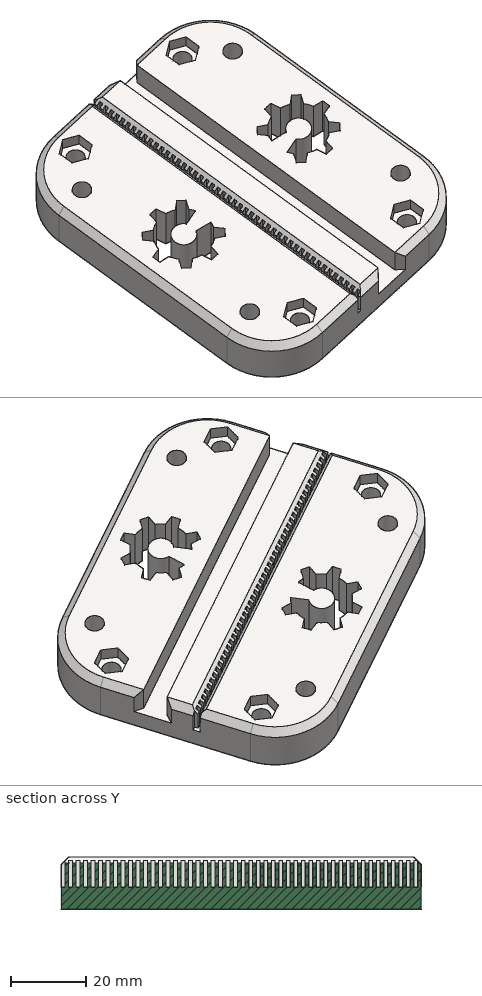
import cadquery as cq
import math

LENGTH = 96.0
WIDTH = 79.0
HEIGHT = 14.0
CORNER_RADIUS = 18.0
EDGE_CHAMFER = 2.0

FLOOR_Z = 6.0
CHANNEL_WIDTH = 6.7
CHANNEL_Y = 6.5
CHANNEL_FLARE = EDGE_CHAMFER
SLOT_WIDTH = 2.0
SLOT_Y = -6.0
LEAD_IN_DEPTH = SLOT_WIDTH

TOOTH_COUNT = 48
TOOTH_PITCH = LENGTH / TOOTH_COUNT
TOOTH_WIDTH = TOOTH_PITCH / 2
TOOTH_REACH = SLOT_WIDTH / 2

HOLE_DIAMETER = 5.2
PLAIN_HOLE_X = LENGTH / 2 - CORNER_RADIUS
PLAIN_HOLE_Y = 30.2
NUT_HOLE_X = 40.0
NUT_HOLE_Y = WIDTH / 2 - CORNER_RADIUS
NUT_ACROSS_FLATS = 8.0
NUT_DEPTH = 4.0

GEAR_Y = 23.0
GEAR_TIP_RADIUS = 11.0
GEAR_ROOT_RADIUS = 8.3
GEAR_SECTORS = 8
GEAR_TIP_HALF_WIDTH = 1.2
GEAR_BASE_HALF_WIDTH = 1.8
HUB_RADIUS = 3.5
NECK_HUB_HALF_WIDTH = 1.7
NECK_ROOT_HALF_WIDTH = 2.9


def make_plate():
    plate = cq.Workplane("XY").box(LENGTH, WIDTH, HEIGHT, centered=(True, True, False))
    return plate.edges("|Z").fillet(CORNER_RADIUS).faces(">Z").edges().chamfer(EDGE_CHAMFER)


def make_channel():
    """Rod channel whose side walls flare at 45 degrees at both ends."""
    half_width = CHANNEL_WIDTH / 2
    end_half_width = half_width + CHANNEL_FLARE
    end_x = LENGTH / 2
    flare_x = end_x - CHANNEL_FLARE
    outline = [
        (-end_x, -end_half_width),
        (-flare_x, -half_width),
        (flare_x, -half_width),
        (end_x, -end_half_width),
        (end_x, end_half_width),
        (flare_x, half_width),
        (-flare_x, half_width),
        (-end_x, end_half_width),
    ]
    channel = cq.Workplane("XY", origin=(0, CHANNEL_Y, FLOOR_Z)).polyline(outline).close()
    return channel.extrude(HEIGHT - FLOOR_Z)


def make_belt_slot():
    """Narrow slot with a row of teeth left standing and a V-shaped lead-in along its top."""
    slot = cq.Workplane("XY", origin=(0, SLOT_Y, FLOOR_Z)).box(
        LENGTH, SLOT_WIDTH, HEIGHT - FLOOR_Z, centered=(True, True, False)
    )
    tooth_y = SLOT_Y + (SLOT_WIDTH - TOOTH_REACH) / 2
    first_tooth_x = -LENGTH / 2 + TOOTH_PITCH - TOOTH_WIDTH / 2
    tooth_centres = [(first_tooth_x + i * TOOTH_PITCH, tooth_y) for i in range(TOOTH_COUNT)]
    teeth = (
        cq.Workplane("XY", origin=(0, 0, FLOOR_Z))
        .pushPoints(tooth_centres)
        .rect(TOOTH_WIDTH, TOOTH_REACH)
        .extrude(HEIGHT - FLOOR_Z)
    )
    lead_in = (
        cq.Workplane("YZ", origin=(0, SLOT_Y, HEIGHT))
        .polyline([(-LEAD_IN_DEPTH, 0), (0, -LEAD_IN_DEPTH), (LEAD_IN_DEPTH, 0)])
        .close()
        .extrude(LENGTH / 2, both=True)
    )
    return slot.cut(teeth).union(lead_in)


def mirrored_points(x, y):
    return [(sx * x, sy * y) for sx in (-1, 1) for sy in (-1, 1)]


def make_screw_holes():
    centres = mirrored_points(PLAIN_HOLE_X, PLAIN_HOLE_Y) + mirrored_points(NUT_HOLE_X, NUT_HOLE_Y)
    return cq.Workplane("XY").pushPoints(centres).circle(HOLE_DIAMETER / 2).extrude(HEIGHT)


def make_nut_pockets():
    across_corners = NUT_ACROSS_FLATS / math.cos(math.pi / 6)
    return (
        cq.Workplane("XY", origin=(0, 0, HEIGHT - NUT_DEPTH))
        .pushPoints(mirrored_points(NUT_HOLE_X, NUT_HOLE_Y))
        .polygon(6, across_corners)
        .extrude(NUT_DEPTH)
    )


def make_gear_cutout():
    """Gear silhouette opening around a hub, which a tapered neck joins to the plate on the -Y side."""
    wheel = cq.Workplane("XY").circle(GEAR_ROOT_RADIUS).extrude(HEIGHT)
    base_y = math.sqrt(GEAR_ROOT_RADIUS**2 - GEAR_BASE_HALF_WIDTH**2)
    tooth = (
        cq.Workplane("XY")
        .moveTo(-GEAR_BASE_HALF_WIDTH, 0)
        .lineTo(-GEAR_BASE_HALF_WIDTH, base_y)
        .lineTo(-GEAR_TIP_HALF_WIDTH, GEAR_TIP_RADIUS)
        .lineTo(GEAR_TIP_HALF_WIDTH, GEAR_TIP_RADIUS)
        .lineTo(GEAR_BASE_HALF_WIDTH, base_y)
        .lineTo(GEAR_BASE_HALF_WIDTH, 0)
        .close()
        .extrude(HEIGHT)
    )
    neck_sector = GEAR_SECTORS // 2
    for sector in range(GEAR_SECTORS):
        if sector != neck_sector:
            wheel = wheel.union(tooth.rotate((0, 0, 0), (0, 0, 1), sector * 360 / GEAR_SECTORS))

    hub = cq.Workplane("XY").circle(HUB_RADIUS).extrude(HEIGHT)
    neck_hub_y = -math.sqrt(HUB_RADIUS**2 - NECK_HUB_HALF_WIDTH**2)
    neck = (
        cq.Workplane("XY")
        .moveTo(-NECK_HUB_HALF_WIDTH, neck_hub_y)
        .lineTo(NECK_HUB_HALF_WIDTH, neck_hub_y)
        .lineTo(NECK_ROOT_HALF_WIDTH, -GEAR_ROOT_RADIUS)
        .lineTo(-NECK_ROOT_HALF_WIDTH, -GEAR_ROOT_RADIUS)
        .close()
        .extrude(HEIGHT)
    )
    return wheel.cut(hub).cut(neck)


gear_cutout = make_gear_cutout().translate((0, GEAR_Y, 0))

result = (
    make_plate()
    .cut(make_channel())
    .cut(make_belt_slot())
    .cut(make_screw_holes())
    .cut(make_nut_pockets())
    .cut(gear_cutout)
    .cut(gear_cutout.mirror("XZ"))
)